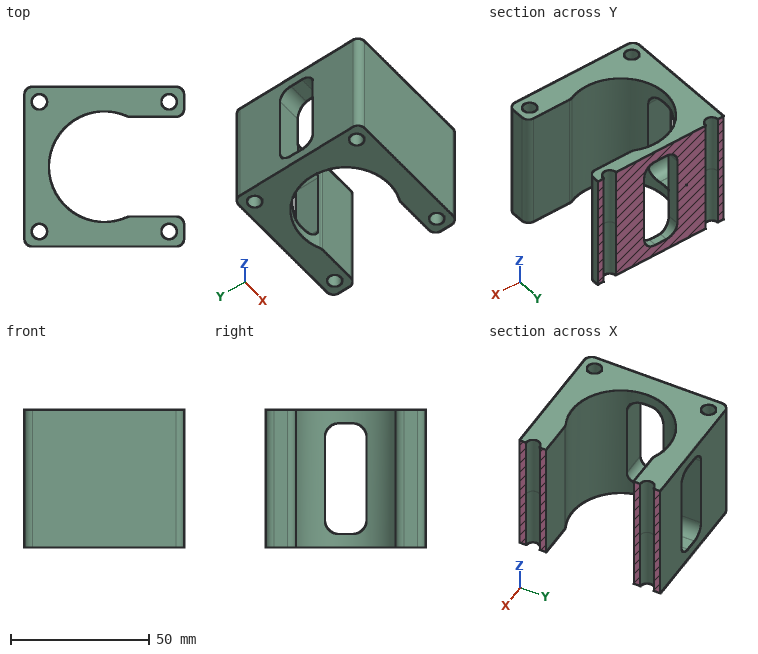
import cadquery as cq

side = 58.0
height = 50.0
corner_radius = 3.0

bore_diameter = 40.0
mouth_width = 36.0
lip_radius = 3.0

hole_diameter = 5.5
hole_spacing = 47.0

window_width = 15.0
window_height = 40.0
window_radius = 5.0


def make_body():
    """Square block with a round bore and a straight mouth toward +X."""
    block = cq.Workplane("XY").box(side, side, height)
    bore = cq.Workplane("XY").circle(bore_diameter / 2).extrude(height, both=True)
    mouth = cq.Workplane("XY").box(side, mouth_width, height).translate((side / 2, 0, 0))
    body = block.cut(bore).cut(mouth)

    lip_x = ((bore_diameter / 2) ** 2 - (mouth_width / 2) ** 2) ** 0.5
    for lip_y in (-mouth_width / 2, mouth_width / 2):
        lip_edge = cq.selectors.NearestToPointSelector((lip_x, lip_y, 0))
        body = body.edges(lip_edge).fillet(lip_radius)

    body = body.edges("|Z and (>X or <X)").fillet(corner_radius)
    return body


def make_screw_holes():
    return (
        cq.Workplane("XY")
        .rect(hole_spacing, hole_spacing, forConstruction=True)
        .vertices()
        .circle(hole_diameter / 2)
        .extrude(height, both=True)
    )


def make_window():
    """Window cutter running from the bore axis out through the -X wall."""
    return (
        cq.Workplane("XY")
        .box(side, window_width, window_height)
        .edges("|X")
        .fillet(window_radius)
        .translate((-side / 2, 0, 0))
    )


left_window = make_window()
back_window = left_window.rotate((0, 0, 0), (0, 0, 1), -90)

result = make_body().cut(make_screw_holes()).cut(left_window).cut(back_window)